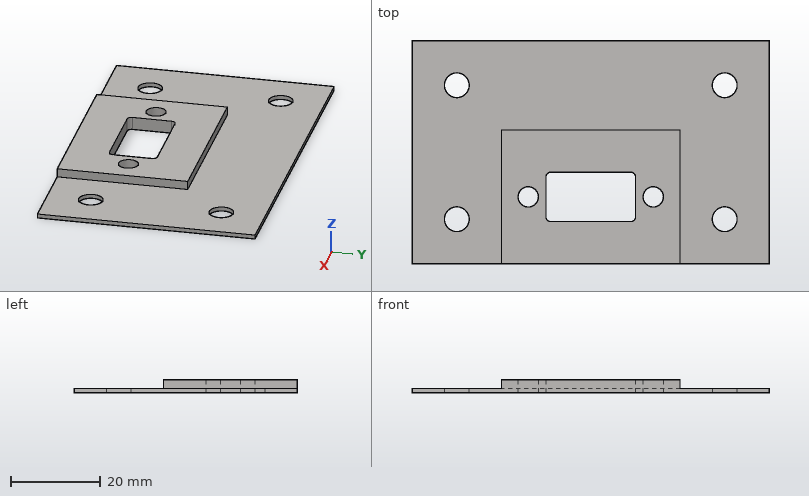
import cadquery as cq

plate_length = 80.0
plate_width = 50.0
plate_thickness = 1.0
mount_hole_diameter = 5.5
mount_spacing_x = 60.0
mount_spacing_y = 30.0

pad_length = 40.0
pad_width = 30.0
pad_height = 2.0
total_height = plate_thickness + pad_height
pad_center_y = (pad_width - plate_width) / 2

window_length = 20.0
window_width = 11.0
window_corner_radius = 1.0
screw_hole_diameter = 4.5
screw_spacing = 28.0


def base_plate():
    """Flat plate with four mounting holes in a rectangle."""
    return (
        cq.Workplane("XY")
        .rect(plate_length, plate_width)
        .extrude(plate_thickness)
        .faces(">Z")
        .workplane()
        .rect(mount_spacing_x, mount_spacing_y, forConstruction=True)
        .vertices()
        .hole(mount_hole_diameter)
    )


def connector_pad():
    """Raised block that stands on the plate."""
    return (
        cq.Workplane("XY", origin=(0, pad_center_y, plate_thickness))
        .rect(pad_length, pad_width)
        .extrude(pad_height)
    )


def connector_window():
    """Rounded rectangular opening through pad and plate."""
    return (
        cq.Workplane("XY", origin=(0, pad_center_y, 0))
        .rect(window_length, window_width)
        .extrude(total_height)
        .edges("|Z")
        .fillet(window_corner_radius)
    )


def screw_holes():
    """Pair of through holes, one on each side of the window."""
    return (
        cq.Workplane("XY", origin=(0, pad_center_y, 0))
        .pushPoints([(-screw_spacing / 2, 0), (screw_spacing / 2, 0)])
        .circle(screw_hole_diameter / 2)
        .extrude(total_height)
    )


result = base_plate().union(connector_pad()).cut(connector_window()).cut(screw_holes())